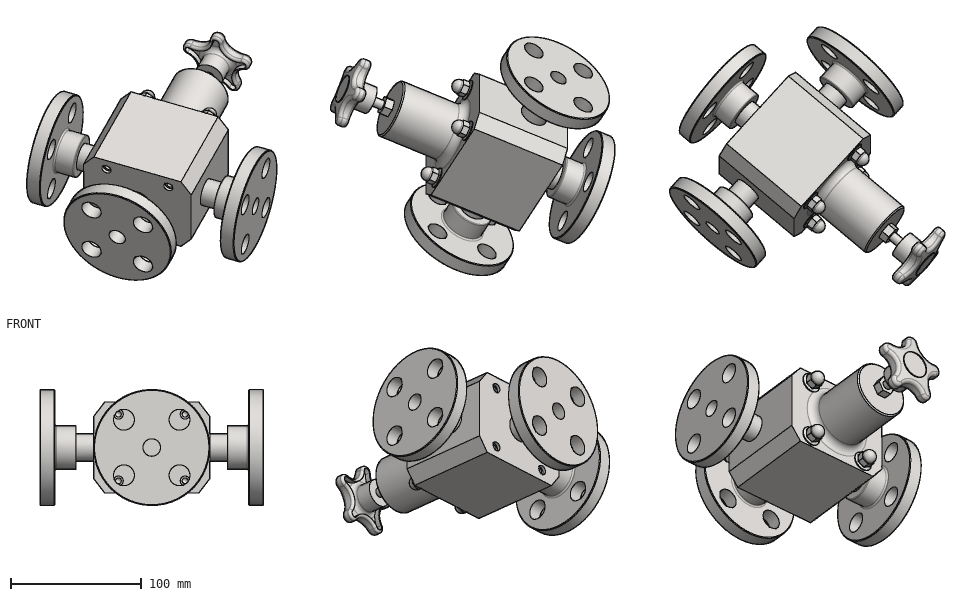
import cadquery as cq
import math


body_width = 89.0
body_height = 70.0
body_back_y = 46.8
body_front_y = -29.4
bevel_x, bevel_z = 8.5, 11.0

flange_diameter = 89.0
flange_thickness = 11.5
flange_edge_chamfer = 0.6
flange_bolt_diameter = 16.0
flange_bolt_offset = 21.3
side_face_x = 85.8
front_face_y = -70.7
hub_diameter = 33.6
hub_length = 16.4
hub_fillet = 0.6
hub_root_fillet = 1.3
pipe_diameter = 21.3
bore_diameter = 13.5

bonnet_diameter = 45.8
bonnet_top_y = 100.9
bonnet_fillet = 6.4
bonnet_chamfer = 1.0

bolt_spacing = 51.0
washer_diameter = 16.0
washer_rim_height = 0.6
washer_height = 1.3
nut_across_flats = 11.0
nut_height = 5.3
cap_shoulder = 1.3
bolt_recess_diameter = 7.5
bolt_recess_depth = 2.5
bolt_hole_diameter = 4.5
bolt_hole_depth = 6.4
drill_point_angle = 118.0

gland_across_flats = 13.0
gland_height = 6.8
stem_diameter = 7.5
wheel_hub_diameter = 22.1
wheel_hub_y = 117.7
wheel_back_y = 130.7
wheel_top_y = front_face_y + 212.8
wheel_cap_step = 0.2
wheel_dome_radius = 127.7
lobe_count = 5
lobe_centre_radius = 23.5
lobe_radius = 5.1
wheel_top_fillet = 3.0
wheel_back_fillet = 2.1
wheel_rim_width = 2.3
wheel_pocket_depth = 4.3

NUT_POSITIONS = [
    (sx * bolt_spacing / 2, sz * bolt_spacing / 2)
    for sx in (-1, 1) for sz in (-1, 1)
]


def along_y(start_y):
    """Sketch plane at start_y: local x is -X, local y is Z, extrusion runs toward +Y."""
    return cq.Workplane(cq.Plane(origin=(0, start_y, 0), xDir=(-1, 0, 0), normal=(0, 1, 0)))


def cylinder_y(diameter, start_y, end_y):
    return along_y(start_y).circle(diameter / 2).extrude(end_y - start_y)


def hexagon_y(across_flats, start_y, height):
    """Hexagonal prism on Y with two of its corners on +Z and -Z."""
    across_corners = across_flats / math.cos(math.pi / 6)
    return (
        along_y(start_y).transformed(rotate=(0, 0, 90))
        .polygon(6, across_corners).extrude(height)
    )


def make_body():
    body = along_y(body_front_y).rect(body_width, body_height).extrude(body_back_y - body_front_y)
    half_x, half_z = body_width / 2, body_height / 2
    for sx in (-1, 1):
        for sz in (-1, 1):
            corner = (
                along_y(body_front_y)
                .moveTo(sx * half_x, sz * half_z)
                .lineTo(sx * (half_x - bevel_x), sz * half_z)
                .lineTo(sx * half_x, sz * (half_z - bevel_z))
                .close()
                .extrude(body_back_y - body_front_y)
            )
            body = body.cut(corner)
    return body


def make_port(length):
    """Port along +Z with its flange face at z = 0 and its pipe ending at z = length."""
    flange_radius = flange_diameter / 2
    face_radius = flange_radius - flange_edge_chamfer
    hub_radius = hub_diameter / 2
    hub_end = flange_thickness + hub_length
    solid = (
        cq.Workplane("XZ")
        .lineTo(face_radius, 0)
        .lineTo(flange_radius, flange_edge_chamfer)
        .lineTo(flange_radius, flange_thickness - flange_edge_chamfer)
        .lineTo(face_radius, flange_thickness)
        .lineTo(hub_radius + hub_root_fillet, flange_thickness)
        .radiusArc((hub_radius, flange_thickness + hub_root_fillet), hub_root_fillet)
        .lineTo(hub_radius, hub_end - hub_fillet)
        .radiusArc((hub_radius - hub_fillet, hub_end), -hub_fillet)
        .lineTo(pipe_diameter / 2, hub_end)
        .lineTo(pipe_diameter / 2, length)
        .lineTo(0, length)
        .close()
        .revolve(360, (0, 0), (0, 1))
    )
    bolt_holes = (
        cq.Workplane("XY")
        .rect(2 * flange_bolt_offset, 2 * flange_bolt_offset, forConstruction=True).vertices()
        .circle(flange_bolt_diameter / 2).extrude(flange_thickness)
    )
    bore = cq.Workplane("XY").circle(bore_diameter / 2).extrude(length)
    return solid.cut(bolt_holes).cut(bore)


def make_bonnet():
    radius = bonnet_diameter / 2
    foot_radius = radius + bonnet_fillet
    arc_centre_y = body_back_y + bonnet_fillet
    arc_reach = bonnet_fillet * math.sqrt(0.5)
    return (
        cq.Workplane("XY")
        .moveTo(0, body_back_y)
        .lineTo(foot_radius, body_back_y)
        .threePointArc((foot_radius - arc_reach, arc_centre_y - arc_reach), (radius, arc_centre_y))
        .lineTo(radius, bonnet_top_y - bonnet_chamfer)
        .lineTo(radius - bonnet_chamfer, bonnet_top_y)
        .lineTo(0, bonnet_top_y)
        .close()
        .revolve(360, (0, 0), (0, 1))
    )


def make_cap_nut():
    """Acorn nut on a bevelled washer, with its axis on Y and its seat on the body."""
    cap_radius = nut_across_flats / 2
    hex_y = body_back_y + washer_height
    shoulder_y = hex_y + nut_height
    dome_y = shoulder_y + cap_shoulder
    dome_reach = cap_radius * math.sqrt(0.5)
    core = (
        cq.Workplane("XY")
        .moveTo(0, body_back_y)
        .lineTo(washer_diameter / 2, body_back_y)
        .lineTo(washer_diameter / 2, body_back_y + washer_rim_height)
        .lineTo(cap_radius, hex_y)
        .lineTo(cap_radius, dome_y)
        .threePointArc((dome_reach, dome_y + dome_reach), (0, dome_y + cap_radius))
        .close()
        .revolve(360, (0, 0), (0, 1))
    )
    return core.union(hexagon_y(nut_across_flats, hex_y, nut_height))


def make_bolt_recess():
    """Stepped hole with a drill point, entering the front of the body along +Y."""
    hole_radius = bolt_hole_diameter / 2
    step_y = body_front_y + bolt_recess_depth
    end_y = step_y + bolt_hole_depth
    point_length = hole_radius / math.tan(math.radians(drill_point_angle / 2))
    return (
        cq.Workplane("XY")
        .moveTo(0, body_front_y)
        .lineTo(bolt_recess_diameter / 2, body_front_y)
        .lineTo(bolt_recess_diameter / 2, step_y)
        .lineTo(hole_radius, step_y)
        .lineTo(hole_radius, end_y)
        .lineTo(0, end_y + point_length)
        .close()
        .revolve(360, (0, 0), (0, 1))
    )


def polar(radius, angle):
    """Local (x, y) point in the wheel plane; angles are measured from +Z."""
    return (radius * math.sin(angle), radius * math.cos(angle))


def star_prism(inset, height):
    """Star of round lobes joined by tangent hollows, its outline moved inward by inset."""
    pitch = 2 * math.pi / lobe_count
    tip_radius = lobe_radius - inset
    hollow_centre_radius = lobe_centre_radius / math.cos(pitch / 2)
    hollow_radius = lobe_centre_radius * math.tan(pitch / 2) - tip_radius
    side_radius = math.hypot(lobe_centre_radius, tip_radius)
    side_angle = math.atan2(tip_radius, lobe_centre_radius)

    outline = along_y(wheel_back_y).moveTo(*polar(side_radius, -side_angle))
    for lobe in range(lobe_count):
        angle = lobe * pitch
        outline = outline.threePointArc(
            polar(lobe_centre_radius + tip_radius, angle),
            polar(side_radius, angle + side_angle),
        ).threePointArc(
            polar(hollow_centre_radius - hollow_radius, angle + pitch / 2),
            polar(side_radius, angle + pitch - side_angle),
        )
    return outline.close().extrude(height)


def make_hub_flare():
    """Concave flare that spreads the wheel hub out onto the pocket floor."""
    radius = wheel_hub_diameter / 2
    flare = wheel_pocket_depth
    arc_inset = flare * (1 - math.sqrt(0.5))
    floor_y = wheel_back_y + wheel_pocket_depth
    return (
        cq.Workplane("XY")
        .moveTo(0, wheel_back_y)
        .lineTo(radius, wheel_back_y)
        .threePointArc((radius + arc_inset, floor_y - arc_inset), (radius + flare, floor_y))
        .lineTo(0, floor_y)
        .close()
        .revolve(360, (0, 0), (0, 1))
    )


def make_star():
    """Star-shaped wheel under a shallow dome, hollowed out from its back."""
    star = star_prism(0, wheel_top_y - wheel_back_y)
    crown_y = wheel_top_y - wheel_cap_step
    dome = cq.Workplane("XY").sphere(wheel_dome_radius).translate((0, crown_y - wheel_dome_radius, 0))
    star = star.intersect(dome)
    star = star.faces(">Y").edges().fillet(wheel_top_fillet)
    star = star.faces("<Y").edges().fillet(wheel_back_fillet)
    pocket = star_prism(wheel_rim_width, wheel_pocket_depth).cut(make_hub_flare())
    return star.cut(pocket)


def make_stem_and_wheel():
    gland = hexagon_y(gland_across_flats, bonnet_top_y, gland_height).rotate((0, 0, 0), (0, 1, 0), 90)
    stem = cylinder_y(stem_diameter, bonnet_top_y, wheel_back_y)
    hub = cylinder_y(wheel_hub_diameter, wheel_hub_y, wheel_top_y)
    return gland.union(stem).union(hub).union(make_star())


result = make_body().union(make_bonnet()).union(make_stem_and_wheel())

side_port = make_port(side_face_x - body_width / 2)
left_port = side_port.rotate((0, 0, 0), (0, 1, 0), 90).translate((-side_face_x, 0, 0))
right_port = side_port.rotate((0, 0, 0), (0, 1, 0), -90).translate((side_face_x, 0, 0))
front_port = (
    make_port(body_front_y - front_face_y)
    .rotate((0, 0, 0), (1, 0, 0), -90)
    .translate((0, front_face_y, 0))
)
result = result.union(left_port).union(right_port).union(front_port)

cap_nut = make_cap_nut()
bolt_recess = make_bolt_recess()
for nut_x, nut_z in NUT_POSITIONS:
    result = result.union(cap_nut.translate((nut_x, 0, nut_z)))
    result = result.cut(bolt_recess.translate((nut_x, 0, nut_z)))